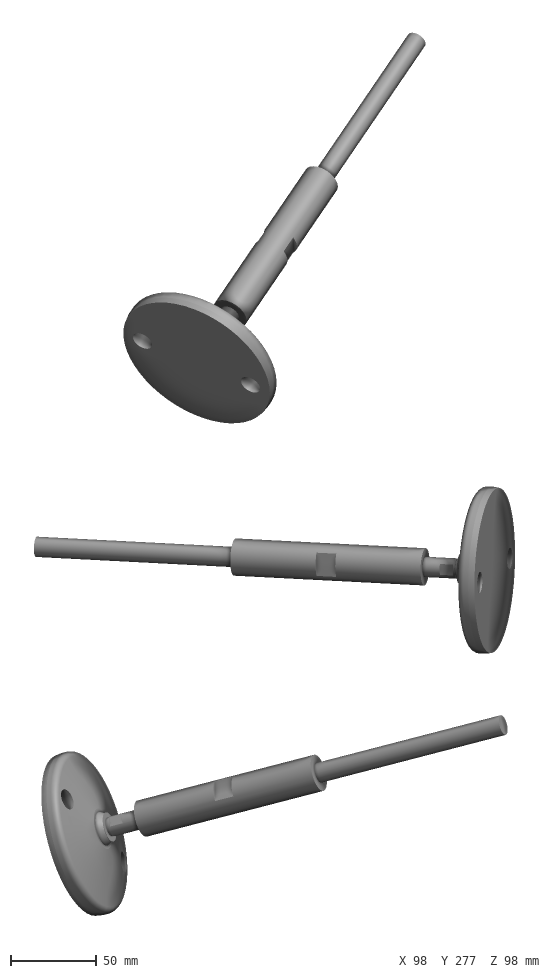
import cadquery as cq
import math

TOTAL_LENGTH = 277.0

FOOT_RADIUS = 98.0 / 2
DRAFT_INSET = 0.5
DRAFT_HEIGHT = 3.5
CONE_ANGLE = 10.5
CONE_TOP_RADIUS = 12.2
CONE_TOP_Y = 16.5
RIM_FILLET = 4.0

HOLE_DIAMETER = 12.5
HOLE_OFFSET = 35.7
HOLE_CUT_LENGTH = 33.2

ROD_DIAMETER = 12.0
BALL_DIAMETER = 22.0
BALL_CENTRE_Y = 12.7
NECK_DIAMETER = 10.8
COLLAR_DIAMETER = 17.7
COLLAR_BOTTOM_Y = 20.8
COLLAR_TOP_Y = 21.0
ROD_BOTTOM_Y = 22.7
ROD_FLATS_WIDTH = 10.0
ROD_FLATS_BOTTOM_Y = 23.8
ROD_FLATS_TOP_Y = 31.9

SLEEVE_DIAMETER = 22.0
SLEEVE_BOTTOM_Y = 42.0
SLEEVE_LENGTH = 115.0
SLEEVE_FLATS_WIDTH = 17.0
SLEEVE_FLATS_LENGTH = 12.0


def rod_between(diameter, bottom_y, top_y):
    """Cylinder on the Y axis."""
    plane = cq.Plane(origin=(0, bottom_y, 0), xDir=(1, 0, 0), normal=(0, 1, 0))
    return cq.Workplane(plane).circle(diameter / 2).extrude(top_y - bottom_y)


def cut_flats(body, diameter, width, bottom_y, top_y):
    """Cut a pair of wrench flats facing -X and +X, leaving the given width."""
    depth = (diameter - width) / 2
    for side in (-1, 1):
        cutter = cq.Workplane("XY").box(2 * depth, top_y - bottom_y, diameter)
        body = body.cut(cutter.translate((side * (width / 2 + depth), (bottom_y + top_y) / 2, 0)))
    return body


def make_ball():
    return cq.Workplane("XY").sphere(BALL_DIAMETER / 2).translate((0, BALL_CENTRE_Y, 0))


def make_foot():
    slope = math.radians(CONE_ANGLE)
    cone_rim_y = CONE_TOP_Y - (FOOT_RADIUS - CONE_TOP_RADIUS) * math.tan(slope)

    arc_x = FOOT_RADIUS - RIM_FILLET
    arc_y = cone_rim_y - RIM_FILLET * math.tan((math.pi / 2 - slope) / 2)

    def arc_point(angle):
        return (arc_x + RIM_FILLET * math.cos(angle), arc_y + RIM_FILLET * math.sin(angle))

    arc_end = math.pi / 2 - slope
    foot = (
        cq.Workplane("XY")
        .moveTo(0, 0)
        .lineTo(FOOT_RADIUS - DRAFT_INSET, 0)
        .lineTo(FOOT_RADIUS, DRAFT_HEIGHT)
        .lineTo(*arc_point(0))
        .threePointArc(arc_point(arc_end / 2), arc_point(arc_end))
        .lineTo(CONE_TOP_RADIUS, CONE_TOP_Y)
        .lineTo(0, CONE_TOP_Y)
        .close()
        .revolve(360, (0, 0, 0), (0, 1, 0))
    )
    foot = foot.cut(make_ball())
    for side in (-1, 1):
        hole = rod_between(HOLE_DIAMETER, -HOLE_CUT_LENGTH / 2, HOLE_CUT_LENGTH / 2)
        hole = hole.rotate((0, 0, 0), (0, 0, 1), -side * CONE_ANGLE)
        foot = foot.cut(hole.translate((side * HOLE_OFFSET, 0, 0)))
    return foot


def make_spindle():
    ball_top_y = BALL_CENTRE_Y + BALL_DIAMETER / 2
    ball = make_ball().cut(rod_between(BALL_DIAMETER, COLLAR_BOTTOM_Y, ball_top_y))
    collar = rod_between(COLLAR_DIAMETER, COLLAR_BOTTOM_Y, COLLAR_TOP_Y)
    neck = rod_between(NECK_DIAMETER, COLLAR_TOP_Y, ROD_BOTTOM_Y)
    rod = rod_between(ROD_DIAMETER, ROD_BOTTOM_Y, TOTAL_LENGTH)
    rod = cut_flats(rod, ROD_DIAMETER, ROD_FLATS_WIDTH, ROD_FLATS_BOTTOM_Y, ROD_FLATS_TOP_Y)
    return rod.union(neck).union(collar).union(ball)


def make_sleeve():
    top_y = SLEEVE_BOTTOM_Y + SLEEVE_LENGTH
    middle_y = SLEEVE_BOTTOM_Y + SLEEVE_LENGTH / 2
    sleeve = rod_between(SLEEVE_DIAMETER, SLEEVE_BOTTOM_Y, top_y)
    sleeve = sleeve.cut(rod_between(ROD_DIAMETER, SLEEVE_BOTTOM_Y, top_y))
    flats_bottom_y = middle_y - SLEEVE_FLATS_LENGTH / 2
    flats_top_y = middle_y + SLEEVE_FLATS_LENGTH / 2
    return cut_flats(sleeve, SLEEVE_DIAMETER, SLEEVE_FLATS_WIDTH, flats_bottom_y, flats_top_y)


foot = make_foot()
spindle = make_spindle()
sleeve = make_sleeve()

result = cq.Compound.makeCompound([foot.solids().val(), spindle.solids().val(), sleeve.solids().val()])